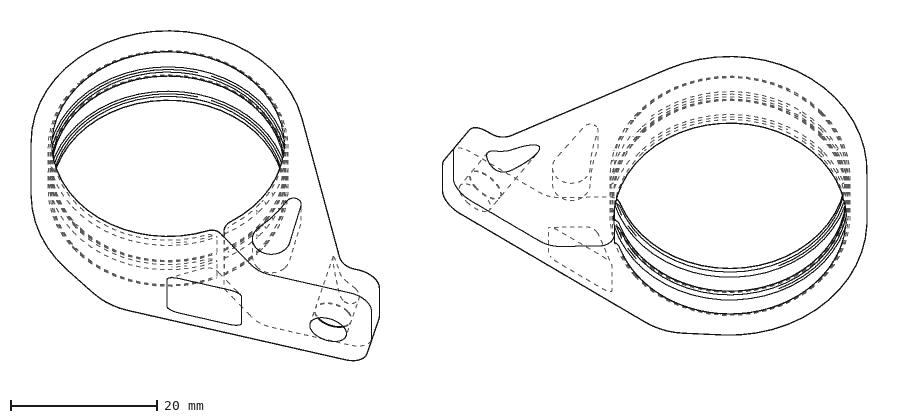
import cadquery as cq
import math

overall_length = 52.6
overall_width = 39.0
height = 12.7
ring_radius = 18.75
bore_radius = 15.9
edge_fillet = 0.25

tab_end_x = overall_length - ring_radius
base_y = ring_radius - overall_width
tab_thickness = 6.5
tab_top_y = base_y + tab_thickness
tab_corner_radius = 3.05
lower_flank_angle = 32
upper_flank_angle = 62
lower_flank_fillet = 10
upper_flank_fillet = 2.75

screw_diameter = 5.2
screw_inset = 5.5

slot_gap = 0.1
lower_jaw_thickness = 2.5
slot_y = base_y + lower_jaw_thickness
slot_bend_x = 17.8
slot_angle = 36
slot_bend_fillet = 5.0
lower_lip_fillet = 1.5
upper_lip_fillet = 2.0

groove_fillet = 0.25
groove_depth = 2 * groove_fillet
end_land = 1.1
middle_land = 0.9
groove_near_z = middle_land / 2
groove_far_z = height / 2 - end_land

vee_left_x = 5.45
vee_width = 10.65
vee_height = 8.05
vee_left_angle = 35
vee_right_angle = 36
vee_apex_fillet = 1.9
vee_end_fillet = 1.0

drop_depth = 5.0
drop_floor_fillet = 1.0
drop_inner_radius = 19.1
drop_large_bearing = -33.8
drop_large_radius = 2.6
drop_small_bearing = -16.2
drop_small_radius = 1.05


def polar(radius, degrees, center=(0, 0)):
    """Point at a distance and bearing from a center."""
    angle = math.radians(degrees)
    return (center[0] + radius * math.cos(angle), center[1] + radius * math.sin(angle))


def tangent_point_at_y(normal_degrees, y):
    """Point at height y on the line touching the ring where its normal has this angle."""
    angle = math.radians(normal_degrees)
    return ((ring_radius - y * math.sin(angle)) / math.cos(angle), y)


def near(point):
    """Selector for the upright edge through a point of the outline."""
    return cq.NearestToPointSelector((point[0], point[1], 0))


def clamp_body():
    upper_normal = 90 - upper_flank_angle
    lower_normal = 270 - lower_flank_angle
    upper_corner = tangent_point_at_y(upper_normal, tab_top_y)
    lower_corner = tangent_point_at_y(lower_normal, base_y)
    body = (
        cq.Workplane("XY", origin=(0, 0, -height / 2))
        .moveTo(*polar(ring_radius, upper_normal))
        .threePointArc(
            polar(ring_radius, (upper_normal + lower_normal) / 2),
            polar(ring_radius, lower_normal),
        )
        .lineTo(*lower_corner)
        .lineTo(tab_end_x, base_y)
        .lineTo(tab_end_x, tab_top_y)
        .lineTo(*upper_corner)
        .close()
        .extrude(height)
    )
    body = body.edges(near(lower_corner)).fillet(lower_flank_fillet)
    body = body.edges(near(upper_corner)).fillet(upper_flank_fillet)
    body = body.edges("|Y and >X").fillet(tab_corner_radius)
    return body.cut(cq.Workplane("XY").circle(bore_radius).extrude(height, both=True))


def slot_side(offset):
    """Mouth, bend and end points of the slot wall raised by offset from the slot centerline."""
    angle = math.radians(slot_angle)
    bend = (slot_bend_x + offset * math.tan(angle / 2), slot_y + offset)
    distance = bend[0] * math.sin(angle) + bend[1] * math.cos(angle)
    mouth_angle = math.degrees(math.asin(distance / bore_radius)) - slot_angle
    return polar(bore_radius, mouth_angle), bend, (tab_end_x, bend[1])


def cut_slot(body):
    upper_mouth, upper_bend, upper_end = slot_side(slot_gap / 2)
    lower_mouth, lower_bend, lower_end = slot_side(-slot_gap / 2)
    inside_bore = polar(bore_radius / 2, 180 - slot_angle, upper_mouth)
    strip = (
        cq.Workplane("XY")
        .polyline([inside_bore, upper_mouth, upper_bend, upper_end, lower_end, lower_bend, lower_mouth])
        .close()
        .extrude(height, both=True)
    )
    body = body.cut(strip)
    body = body.edges(near(upper_bend)).fillet(slot_bend_fillet)
    body = body.edges(near(lower_bend)).fillet(slot_bend_fillet)
    body = body.edges(near(upper_mouth)).fillet(upper_lip_fillet)
    return body.edges(near(lower_mouth)).fillet(lower_lip_fillet)


def round_rims(body):
    """Round both rims, following them around the rounded end of the tab."""
    rims = body.edges("not (|Y or |Z)").vals()
    tab_end = body.faces(">X").edges("|Z").vals()
    return body.newObject(rims + tab_end).fillet(edge_fillet)


def bore_groove(bottom_z, top_z):
    """Ring-shaped cutter whose sides are a lip fillet followed by a root fillet."""
    swing = groove_fillet * math.sqrt(0.5)
    rest = groove_fillet - swing
    middle_radius = bore_radius + groove_fillet
    outer_radius = bore_radius + groove_depth

    def side(z, inward):
        """Points from bore to groove floor; inward is +1 or -1, the direction into the groove."""
        middle_z = z + inward * groove_fillet
        return [
            (bore_radius, z),
            (bore_radius + rest, z + inward * swing),
            (middle_radius, middle_z),
            (middle_radius + swing, middle_z + inward * rest),
            (outer_radius, middle_z + inward * groove_fillet),
        ]

    bottom = side(bottom_z, 1)
    top = side(top_z, -1)
    inside = bore_radius - groove_fillet
    return (
        cq.Workplane("XZ")
        .moveTo(inside, bottom_z)
        .lineTo(*bottom[0])
        .threePointArc(bottom[1], bottom[2])
        .threePointArc(bottom[3], bottom[4])
        .lineTo(*top[4])
        .threePointArc(top[3], top[2])
        .threePointArc(top[1], top[0])
        .lineTo(inside, top_z)
        .close()
        .revolve(360, (0, 0, 0), (0, 1, 0))
    )


def vee_pocket():
    left_slope = math.tan(math.radians(vee_left_angle))
    right_slope = math.tan(math.radians(vee_right_angle))
    apex_x = vee_width * right_slope / (left_slope + right_slope)
    wedge = (
        cq.Workplane("XY", origin=(vee_left_x, base_y, -vee_height / 2))
        .lineTo(apex_x, apex_x * left_slope)
        .lineTo(vee_width, 0)
        .close()
        .extrude(vee_height)
    )
    wedge = wedge.edges("|Z and >Y").fillet(vee_apex_fillet)
    return wedge.faces("<Z or >Z").edges("not |X").fillet(vee_end_fillet)


def teardrop_pocket():
    large = polar(drop_inner_radius + drop_large_radius, drop_large_bearing)
    small = polar(drop_inner_radius + drop_small_radius, drop_small_bearing)
    axis = math.degrees(math.atan2(small[1] - large[1], small[0] - large[0]))
    taper = math.acos((drop_large_radius - drop_small_radius) / math.dist(large, small))
    side = axis - math.degrees(taper)
    small_back = (side + drop_small_bearing + 180) / 2
    large_back = (side + drop_large_bearing - 180) / 2
    inner_middle = (drop_large_bearing + drop_small_bearing) / 2
    start = polar(drop_large_radius, side, large)
    return (
        cq.Workplane("XY", origin=(0, 0, height / 2 - drop_depth))
        .moveTo(*start)
        .lineTo(*polar(drop_small_radius, side, small))
        .threePointArc(
            polar(drop_small_radius, small_back, small),
            polar(drop_inner_radius, drop_small_bearing),
        )
        .threePointArc(
            polar(drop_inner_radius, inner_middle),
            polar(drop_inner_radius, drop_large_bearing),
        )
        .threePointArc(polar(drop_large_radius, large_back, large), start)
        .close()
        .extrude(drop_depth)
        .faces("<Z").edges().fillet(drop_floor_fillet)
    )


def screw_hole():
    """Cutter from the base up through the tab and the flank above it."""
    return (
        cq.Workplane("XZ", origin=(tab_end_x - screw_inset, 0, 0))
        .circle(screw_diameter / 2)
        .extrude(-base_y)
    )


result = (
    round_rims(cut_slot(clamp_body()))
    .cut(bore_groove(groove_near_z, groove_far_z))
    .cut(bore_groove(-groove_far_z, -groove_near_z))
    .cut(vee_pocket())
    .cut(teardrop_pocket())
    .cut(screw_hole())
)